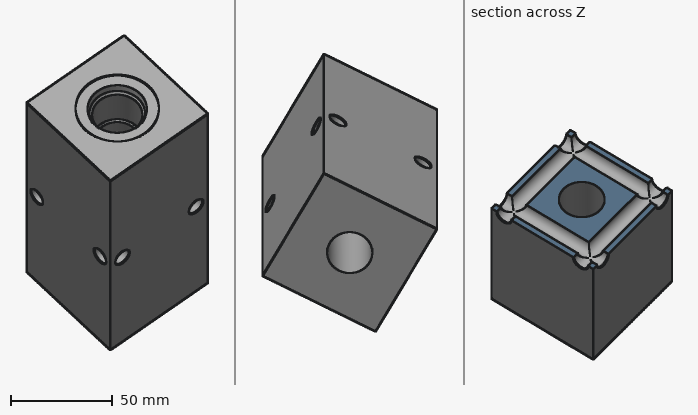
import cadquery as cq
import math

WIDTH = 63.5
HEIGHT = 139.7
TOP = HEIGHT / 2
EDGE_CHAMFER = 0.254

SPOTFACE_DIA = 41.0
SPOTFACE_DEPTH = 0.8
SEAT_DIA = 29.2
SEAT_DEPTH = 3.5
SEAT_ANGLE = 15.0
PORT_DIA = 24.7
PORT_DEPTH = 25.0
PORT_CHAMFER_ANGLE = 45.0
DRILL_POINT_ANGLE = 59.0
BORE_DIA = 22.225

MOUNT_DIA = 8.7
MOUNT_CHAMFER = 0.38
MOUNT_OFFSET = 23.85


def cone_height(large_radius, small_radius, angle):
    """Axial length of a cone whose wall leans by angle from its axis."""
    return (large_radius - small_radius) / math.tan(math.radians(angle))


def make_port():
    """Solid of revolution for the port and the bore below it."""
    spotface_radius = SPOTFACE_DIA / 2
    seat_radius = SEAT_DIA / 2
    seat_end_radius = seat_radius - SEAT_DEPTH * math.tan(math.radians(SEAT_ANGLE))
    port_radius = PORT_DIA / 2
    bore_radius = BORE_DIA / 2

    floor_z = TOP - SPOTFACE_DEPTH
    seat_end_z = floor_z - SEAT_DEPTH
    thread_start_z = seat_end_z - cone_height(seat_end_radius, port_radius, PORT_CHAMFER_ANGLE)
    port_end_z = floor_z - PORT_DEPTH
    bore_start_z = port_end_z - cone_height(port_radius, bore_radius, DRILL_POINT_ANGLE)

    profile = [
        (0, TOP),
        (spotface_radius, TOP),
        (spotface_radius, floor_z),
        (seat_radius, floor_z),
        (seat_end_radius, seat_end_z),
        (port_radius, thread_start_z),
        (port_radius, port_end_z),
        (bore_radius, bore_start_z),
        (bore_radius, -TOP),
        (0, -TOP),
    ]
    return cq.Workplane("XZ").polyline(profile).close().revolve(360, (0, 0, 0), (0, 1, 0))


def make_mount_holes():
    """Pair of holes along Y, with the entry at each end chamfered."""
    half_width = WIDTH / 2
    hole_radius = MOUNT_DIA / 2
    entry_radius = hole_radius + MOUNT_CHAMFER
    chamfer_start = half_width - MOUNT_CHAMFER

    profile = [
        (0, -half_width),
        (entry_radius, -half_width),
        (hole_radius, -chamfer_start),
        (hole_radius, chamfer_start),
        (entry_radius, half_width),
        (0, half_width),
    ]
    hole = cq.Workplane("XY").polyline(profile).close().revolve(360, (0, 0, 0), (0, 1, 0))
    left_hole = hole.translate((-MOUNT_OFFSET, 0, 0))
    right_hole = hole.translate((MOUNT_OFFSET, 0, 0))
    return left_hole.union(right_hole)


block = cq.Workplane("XY").box(WIDTH, WIDTH, HEIGHT).edges().chamfer(EDGE_CHAMFER)
holes_along_y = make_mount_holes()
holes_along_x = holes_along_y.rotate((0, 0, 0), (0, 0, 1), 90)

result = block.cut(make_port()).cut(holes_along_y).cut(holes_along_x)